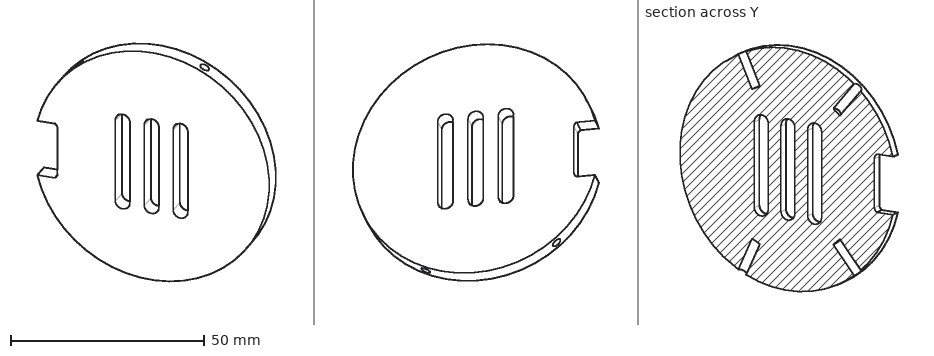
import cadquery as cq
import math

disc_radius = 32.5
thickness = 5.0

notch_height = 15.45
notch_floor_x = -26.0
notch_corner_radius = 1.3
notch_corner_trim = 0.1

slot_count = 3
slot_pitch = 8.0
slot_width = 4.0
slot_length = 26.95

rim_hole_diameter = 2.5
rim_hole_depth = 9.75
rim_hole_angles = (65, 130, -65, -130)


def make_disc():
    return cq.Workplane("XZ").circle(disc_radius).extrude(thickness / 2, both=True)


def make_notch():
    """Block open past the rim; its corner arcs run into the floor smoothly and meet the sides at an angle."""
    length = 2 * (disc_radius + notch_floor_x)
    rounded_height = notch_height + 2 * notch_corner_trim
    rounded_block = cq.Workplane("XY").box(length, 2 * thickness, rounded_height)
    rounded_block = rounded_block.edges("|Y and >X").fillet(notch_corner_radius)
    straight_block = cq.Workplane("XY").box(length, 2 * thickness, notch_height)
    return rounded_block.intersect(straight_block).translate((notch_floor_x - length / 2, 0, 0))


def make_slots():
    return (
        cq.Workplane("XZ")
        .rarray(slot_pitch, 0.65, slot_count, 1)
        .slot2D(slot_length, slot_width, 90)
        .extrude(thickness, both=True)
    )


def make_rim_hole(angle):
    """Cylinder from the rim towards the disc centre."""
    outward = cq.Vector(math.cos(math.radians(angle)), 0, math.sin(math.radians(angle)))
    return cq.Workplane(
        cq.Solid.makeCylinder(rim_hole_diameter / 2, rim_hole_depth, outward * disc_radius, outward * -1)
    )


result = make_disc().cut(make_notch()).cut(make_slots())
for hole_angle in rim_hole_angles:
    result = result.cut(make_rim_hole(hole_angle))